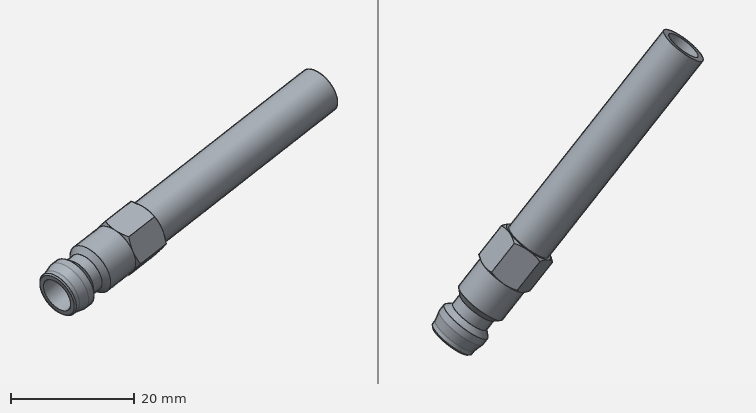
import cadquery as cq
import math

total_length = 63.0
hex_back = 21.0
hex_front = 14.0
groove_back = 8.0
groove_front = 4.0
nose_taper_back = 2.7
nose_taper_front = 1.0

body_diameter = 9.0
groove_diameter = 7.0
nose_diameter = 8.1
tube_diameter = 8.1
bore_diameter = 6.0

tip_chamfer = 0.25
hex_sides = 6
hex_bevel_angle = 30.0

body_radius = body_diameter / 2
groove_radius = groove_diameter / 2
nose_radius = nose_diameter / 2
tube_radius = tube_diameter / 2
groove_depth = body_radius - groove_radius
hex_corner_diameter = body_diameter / math.cos(math.pi / hex_sides)


def revolve_about_y(profile):
    """Turn a closed (radius, y) profile into a solid about the Y axis."""
    return cq.Workplane("XY").polyline(profile).close().revolve(360, (0, 0, 0), (0, 1, 0))


def make_turned_body():
    """Nose, 45 degree groove, collar and plain tube, as one revolved profile."""
    return revolve_about_y([
        (0, 0),
        (nose_radius - tip_chamfer, 0),
        (nose_radius, tip_chamfer),
        (nose_radius, nose_taper_front),
        (body_radius, nose_taper_back),
        (body_radius, groove_front),
        (groove_radius, groove_front + groove_depth),
        (groove_radius, groove_back - groove_depth),
        (body_radius, groove_back),
        (body_radius, hex_front),
        (tube_radius, hex_front),
        (tube_radius, total_length),
        (0, total_length),
    ])


def make_hexagon():
    """Spanner hexagon with its corners bevelled by cones at both ends."""
    corner_radius = hex_corner_diameter / 2
    bevel_length = (corner_radius - body_radius) * math.tan(math.radians(hex_bevel_angle))
    prism = (
        cq.Workplane("XZ", origin=(0, hex_back, 0))
        .polygon(hex_sides, hex_corner_diameter)
        .extrude(hex_back - hex_front)
    )
    bevel_envelope = revolve_about_y([
        (0, hex_front),
        (body_radius, hex_front),
        (corner_radius, hex_front + bevel_length),
        (corner_radius, hex_back - bevel_length),
        (body_radius, hex_back),
        (0, hex_back),
    ])
    return prism.intersect(bevel_envelope)


def make_bore():
    """Through bore along the whole length."""
    return (
        cq.Workplane("XZ", origin=(0, total_length, 0))
        .circle(bore_diameter / 2)
        .extrude(total_length)
    )


result = make_turned_body().union(make_hexagon()).cut(make_bore())